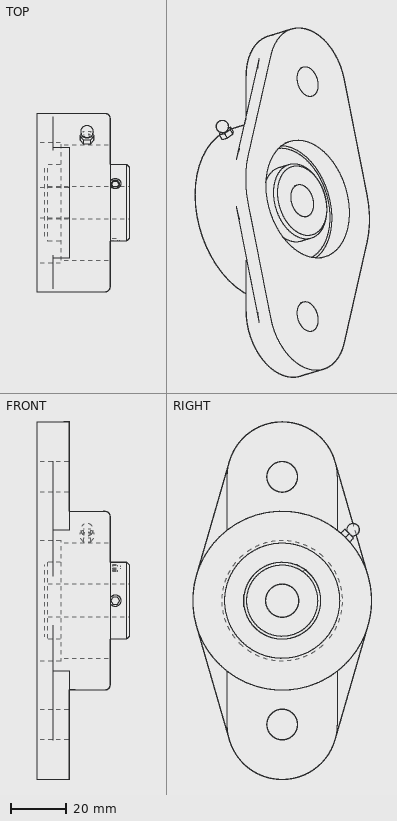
import cadquery as cq
import math


hexagon_sides = 6

total_height = 130.0
end_radius = 20.0
bolt_offset = total_height / 2 - end_radius
bolt_hole_diameter = 11.0
flange_thickness = 11.8
foot_thickness = flange_thickness / 2

boss_diameter = 65.0
boss_radius = boss_diameter / 2
boss_height = 26.6
boss_edge_radius = 2.0

recess_diameter = 43.8
recess_depth = 8.8
bearing_diameter = 41.9

nipple_x = 18.2
nipple_angle = -45.0
nipple_root_depth = 2.6
nipple_root_radius = boss_radius - nipple_root_depth
nipple_hex_top_radius = 34.5
nipple_hex_corners = 5.2
nipple_ball_diameter = 4.5
nipple_ball_sink = 0.3

ring_diameter = 28.0
ring_start = 2.7
ring_end = 33.7
ring_chamfer = 1.0
shaft_diameter = 12.0

screw_x = 28.5
screw_diameter = 4.2
screw_angles = (90.0, -30.0)
screw_root_radius = 10.4
screw_top_radius = ring_diameter / 2
socket_corners = 3.1
socket_depth = 1.0


def axial_cylinder(diameter, start, end):
    """Cylinder about the X axis between two x positions."""
    return cq.Workplane("YZ", origin=(start, 0, 0)).circle(diameter / 2).extrude(end - start)


def bolt_axis_cylinders(diameter, length):
    """Two cylinders from the mounting face, one on each bolt axis."""
    centres = [(0, bolt_offset), (0, -bolt_offset)]
    return cq.Workplane("YZ").pushPoints(centres).circle(diameter / 2).extrude(length)


def radial_frame(x, angle):
    """Workplane at the shaft axis whose normal points outward, turned about X from +Z toward -Y."""
    turn = math.radians(angle)
    outward = (0, -math.sin(turn), math.cos(turn))
    return cq.Workplane(cq.Plane(origin=(x, 0, 0), xDir=(1, 0, 0), normal=outward))


def make_foot():
    """Rhombic foot whose straight sides are tangent to the end arcs and to the boss."""
    slope = math.asin((boss_radius - end_radius) / bolt_offset)
    boss_y = boss_radius * math.cos(slope)
    boss_z = boss_radius * math.sin(slope)
    end_y = end_radius * math.cos(slope)
    end_z = bolt_offset + end_radius * math.sin(slope)
    return (
        cq.Workplane("YZ")
        .moveTo(boss_y, boss_z)
        .lineTo(end_y, end_z)
        .threePointArc((0, total_height / 2), (-end_y, end_z))
        .lineTo(-boss_y, boss_z)
        .threePointArc((-boss_radius, 0), (-boss_y, -boss_z))
        .lineTo(-end_y, -end_z)
        .threePointArc((0, -total_height / 2), (end_y, -end_z))
        .lineTo(boss_y, -boss_z)
        .threePointArc((boss_radius, 0), (boss_y, boss_z))
        .close()
        .extrude(foot_thickness)
    )


def make_arms():
    """Parallel-sided arms with round ends that stiffen the foot."""
    arms = cq.Workplane("YZ").slot2D(total_height, 2 * end_radius, 90)
    return arms.extrude(flange_thickness)


def make_nipple():
    """Grease nipple: a hexagonal base with a ball on top."""
    frame = radial_frame(nipple_x, nipple_angle)
    base = (
        frame.workplane(offset=nipple_root_radius)
        .polygon(hexagon_sides, nipple_hex_corners)
        .extrude(nipple_hex_top_radius - nipple_root_radius)
    )
    ball_centre = nipple_hex_top_radius + nipple_ball_diameter / 2 - nipple_ball_sink
    ball = frame.workplane(offset=ball_centre).sphere(nipple_ball_diameter / 2)
    return base.union(ball)


def make_housing():
    """Flange, boss and nipple as one body, with bolt holes, rear recess and bearing seat."""
    boss = axial_cylinder(boss_diameter, 0, boss_height).faces(">X").edges().fillet(boss_edge_radius)
    body = make_foot().union(make_arms()).union(boss).union(make_nipple())
    return (
        body.cut(bolt_axis_cylinders(bolt_hole_diameter, flange_thickness))
        .cut(axial_cylinder(recess_diameter, 0, recess_depth))
        .cut(axial_cylinder(bearing_diameter, recess_depth, boss_height))
    )


def make_set_screw(angle):
    """Flat-ended set screw shank, and the hexagonal socket to cut from its end."""
    frame = radial_frame(screw_x, angle)
    shank = (
        frame.workplane(offset=screw_root_radius)
        .circle(screw_diameter / 2)
        .extrude(screw_top_radius - screw_root_radius)
    )
    socket = (
        frame.workplane(offset=screw_top_radius - socket_depth)
        .polygon(hexagon_sides, socket_corners)
        .extrude(socket_depth)
    )
    return shank, socket


def make_bearing():
    """Bearing insert: outer ring, longer inner ring and two set screws as one body."""
    inner_ring = axial_cylinder(ring_diameter, ring_start, ring_end).edges().chamfer(ring_chamfer)
    bearing = inner_ring.union(axial_cylinder(bearing_diameter, recess_depth, boss_height))
    for angle in screw_angles:
        shank, socket = make_set_screw(angle)
        bearing = bearing.union(shank).cut(socket)
    return bearing.cut(axial_cylinder(shaft_diameter, ring_start, ring_end))


housing = make_housing()
bearing = make_bearing()

result = cq.Compound.makeCompound([housing.solids().val(), bearing.solids().val()])